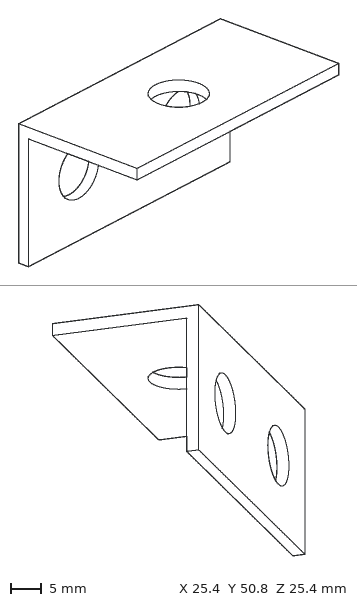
import cadquery as cq

leg = 25.4
length = 2 * leg
thickness = 2.1
hole_diameter = 10.0

leg_middle = leg / 2
side_hole_offset = length / 4


def angle_bar():
    """L-section with its outer corner along the X = 0, Z = leg edge, centred on Y."""
    top_leg = cq.Workplane("XY").box(leg, length, thickness, centered=(False, True, False))
    top_leg = top_leg.translate((0, 0, leg - thickness))
    side_leg = cq.Workplane("XY").box(thickness, length, leg, centered=(False, True, False))
    return top_leg.union(side_leg)


def top_hole():
    """Drill through the middle of the horizontal leg."""
    drill = cq.Workplane("XY").circle(hole_diameter / 2).extrude(thickness)
    return drill.translate((leg_middle, 0, leg - thickness))


def side_hole(y):
    """Drill through the vertical leg at mid-height."""
    drill = cq.Workplane("YZ").circle(hole_diameter / 2).extrude(thickness)
    return drill.translate((0, y, leg_middle))


result = angle_bar().cut(top_hole())
for y in (-side_hole_offset, side_hole_offset):
    result = result.cut(side_hole(y))